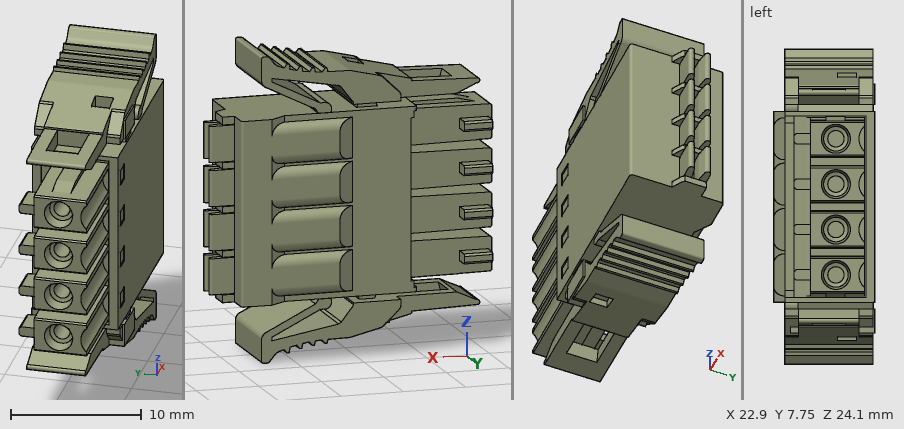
import cadquery as cq
import math

poles = 4
pitch = 3.47
pole_heights = [(index - (poles - 1) / 2) * pitch for index in range(poles)]

total_length = 22.9
total_width = 7.75
total_height = 24.1

housing_start = 6.6
housing_end = 20.92
housing_height = 14.6
housing_width = 6.87
corner_rounding = 0.22
half_housing = housing_height / 2

block_foot = 17.2
slope_run = 1.28
dome_length = 5.45
dome_width = 3.2
dome_rounding = 0.8

opening_bottom = 0.7
opening_top = 6.2
opening_height = 13.88
opening_depth = 0.72
wall_notch_height = 12.82
wall_notch_depth = 0.48

base_recess = 0.25
finger_bottom = 0.8
finger_top = 4.92
finger_tip_height = 2.75
finger_root_height = 2.9
finger_chamfer = 0.12
root_fillet = 0.27
base_height = 13.65
groove_depth = 0.43
groove_half_height = 0.96
groove_radius = (groove_half_height**2 + groove_depth**2) / (2 * groove_depth)

bore_y = 3.0
bore_mouth_radius = 1.1
bore_end_radius = 0.95
pin_radius = 0.63
bore_depth = 0.96
cone_depth = 0.1
pin_hole_depth = 3.85

tab_start = 0.31
tab_end = 2.58
tab_top = 6.2
tab_height = 0.8
tab_chamfer = 0.17

wedge_start = 1.01
wedge_crest = 2.39
wedge_bottom = 2.3
wedge_width = 1.47
wedge_top = 6.92

prong_height = 2.85
prong_outer_sides = (4.07, 5.9)
prong_root_width = 0.63
prong_tip_width = 0.48
prong_taper_end = 22.65
rib_end = 21.88
rib_top = 5.9
rib_foot = 3.47
rib_shoulder = 4.02
rib_bevel = 0.17
slot_height = 2.96

mark_size = 1.23
mark_centre_x = 8.1
mark_depth = 0.1

lever_start_y = 0.15
lever_end_y = 6.92
arm_start_y = 1.2
arm_end_y = 5.83
arm_tip = 1.25
lever_end = 19.06
lever_inner = 7.8
grip_start = 13.7
grip_height = 10.53
grip_radius = 12.05
grip_end = 17.74
ridge_count = 4
ridge_first = 13.74
ridge_pitch = 1.01
ridge_width = 0.48
ridge_crest = 0.17
ridge_rise = 0.3
ridge_rise_step = 0.05
ridge_root_depth = 0.25
half_total = total_height / 2

arm_window = (3.18, 6.65)
arm_window_lip = 3.47
arm_window_edge = 9.0
arm_window_y = (2.27, 4.77)
head_window = (9.65, 10.87)
head_window_y = (1.42, 2.87)
head_window_floor = 9.28
ear_end = 11.7
upper_ear = (8.92, 9.4)
lower_ear = (8.68, 9.66)
ear_far_side = 6.45
post_start = 9.47
post_end = 11.13
post_flare = 0.22
post_y = (0.12, 5.88)


def box(x_range, y_range, z_range):
    """Box between two limits on each axis."""
    return cq.Workplane("XY").box(
        x_range[1] - x_range[0],
        y_range[1] - y_range[0],
        z_range[1] - z_range[0],
        centered=False,
    ).translate((x_range[0], y_range[0], z_range[0]))


def prism_along_z(points, height, centre=0.0):
    """XY outline extruded symmetrically about a height."""
    outline = cq.Workplane("XY").polyline(points).close()
    return outline.extrude(height / 2, both=True).translate((0, 0, centre))


def prism_along_y(outline, y_range):
    """Closed XZ outline extruded between two Y limits."""
    return outline.extrude(y_range[0] - y_range[1]).translate((0, y_range[0], 0))


def xz_polygon(points):
    return cq.Workplane("XZ").polyline(points).close()


def make_housing():
    outline = [
        (housing_start, 0),
        (housing_end, 0),
        (housing_end, total_width),
        (block_foot + slope_run, total_width),
        (block_foot, housing_width),
        (housing_start, housing_width),
    ]
    housing = prism_along_z(outline, housing_height)
    rounded_corners = (
        (housing_end, 0, 0),
        (housing_end, total_width, 0),
        (housing_start, housing_width, 0),
    )
    for corner in rounded_corners:
        edge = cq.selectors.NearestToPointSelector(corner)
        housing = housing.edges("|Z").edges(edge).fillet(corner_rounding)
    return housing


def make_dome(height):
    """Round-edged bulge with slanted ends, running into the raised block."""
    start = block_foot - dome_length
    slanted = prism_along_z(
        [
            (start, housing_width),
            (block_foot, housing_width),
            (block_foot + slope_run, total_width),
            (start + slope_run, total_width),
        ],
        dome_width,
        height,
    )
    rounded = (
        box(
            (start, block_foot + slope_run),
            (housing_width - dome_rounding, total_width),
            (height - dome_width / 2, height + dome_width / 2),
        )
        .edges("|X and >Y")
        .fillet(dome_rounding)
    )
    return slanted.intersect(rounded)


def make_opening():
    front = (housing_start, housing_start + opening_depth)
    half_opening = opening_height / 2
    half_notch = wall_notch_height / 2
    pocket = box(front, (opening_bottom, opening_top), (-half_opening, half_opening))
    notch = box(
        (housing_start, housing_start + wall_notch_depth),
        (opening_top, housing_width),
        (-half_notch, half_notch),
    )
    shallow_notch = box(
        (housing_start, housing_start + wall_notch_depth / 2),
        (opening_top, housing_width),
        (-half_opening, half_opening),
    )
    return pocket.union(notch).union(shallow_notch)


def make_mark(height):
    half = mark_size / 2
    return box(
        (mark_centre_x - half, mark_centre_x + half),
        (0, mark_depth),
        (height - half, height + half),
    )


def make_plug_base():
    """Base block behind the fingers, with a concave fillet at its +Y root."""
    face = housing_start + base_recess
    back = housing_start + opening_depth
    outline = (
        cq.Workplane("XY")
        .moveTo(face, finger_bottom)
        .lineTo(back, finger_bottom)
        .lineTo(back, finger_top + root_fillet)
        .radiusArc((back - root_fillet, finger_top), root_fillet)
        .lineTo(face, finger_top)
        .close()
    )
    return outline.extrude(base_height / 2, both=True)


def make_finger(height):
    tip = finger_tip_height / 2
    root = finger_root_height / 2
    root_x = housing_start + opening_depth
    outline = xz_polygon(
        [
            (0, height - tip + finger_chamfer),
            (finger_chamfer, height - tip),
            (root_x, height - root),
            (root_x, height + root),
            (finger_chamfer, height + tip),
            (0, height + tip - finger_chamfer),
        ]
    )
    finger = prism_along_y(outline, (finger_bottom, finger_top))
    groove_y = finger_bottom + groove_depth - groove_radius
    groove = (
        cq.Workplane("YZ")
        .center(groove_y, height)
        .circle(groove_radius)
        .extrude(housing_start + base_recess)
    )
    return finger.cut(groove)


def make_bore(height):
    """Tapered mouth, cone and blind pin hole along X."""
    cone_end = bore_depth + cone_depth
    half_section = cq.Workplane("XY").polyline(
        [
            (0, 0),
            (0, bore_mouth_radius),
            (bore_depth, bore_end_radius),
            (cone_end, pin_radius),
            (pin_hole_depth, pin_radius),
            (pin_hole_depth, 0),
        ]
    )
    bore = half_section.close().revolve(360, (0, 0, 0), (1, 0, 0))
    return bore.translate((0, bore_y, height))


def make_tab(height):
    half = tab_height / 2
    tab = box((tab_start, tab_end), (finger_top, tab_top), (height - half, height + half))
    return tab.edges("|X and >Y").chamfer(tab_chamfer)


def make_latch_wedge():
    """Ramp on the outer face of the uppermost finger."""
    surface = pole_heights[-1] + finger_tip_height / 2
    root_x = housing_start + opening_depth
    outline = xz_polygon(
        [
            (wedge_start, surface - finger_chamfer),
            (wedge_start, surface),
            (wedge_crest, wedge_top),
            (root_x, wedge_top),
            (root_x, surface - finger_chamfer),
        ]
    )
    return prism_along_y(outline, (wedge_bottom, wedge_bottom + wedge_width))


def make_prong(outer_y, inward, height):
    """Contact blade, straight outside and tapered inside (inward is +1 or -1 along Y)."""
    root_y = outer_y + inward * prong_root_width
    tip_y = outer_y + inward * prong_tip_width
    outline = (
        cq.Workplane("XY")
        .moveTo(housing_end, outer_y)
        .lineTo(prong_taper_end, outer_y)
        .threePointArc((total_length, (outer_y + tip_y) / 2), (prong_taper_end, tip_y))
        .lineTo(rib_end, root_y)
        .lineTo(housing_end, root_y)
        .close()
    )
    return outline.extrude(prong_height / 2, both=True).translate((0, 0, height))


def make_contact_ribs():
    """Guide ribs left between the slots of the prongs."""
    ribs = prism_along_z(
        [
            (housing_end, rib_foot),
            (rib_end - rib_bevel, rib_shoulder - rib_bevel / 2),
            (rib_end, rib_shoulder + rib_bevel / 2),
            (rib_end, rib_top),
            (housing_end, rib_top),
        ],
        housing_height,
    )
    half = slot_height / 2
    for height in pole_heights:
        slot = box((housing_end, rib_end), (rib_foot, rib_top), (height - half, height + half))
        ribs = ribs.cut(slot)
    return ribs


def grip_z(x):
    """Height of the concave finger grip at a place along X."""
    return grip_height + grip_radius - math.sqrt(grip_radius**2 - (x - grip_start) ** 2)


def lever_outline():
    """Side outline of the upper lever with its spring leg."""
    grip_middle = (grip_start + grip_end) / 2
    return (
        cq.Workplane("XZ")
        .moveTo(1.5, 8.53)
        .threePointArc((arm_tip, 8.75), (1.42, 8.92))
        .lineTo(6.7, 9.05)
        .lineTo(6.7, 9.2)
        .lineTo(6.85, 9.28)
        .lineTo(11.9, 10.48)
        .lineTo(12.1, 10.5)
        .lineTo(grip_start, grip_height)
        .threePointArc((grip_middle, grip_z(grip_middle)), (grip_end, grip_z(grip_end)))
        .threePointArc((17.88, 11.33), (18.03, 11.47))
        .lineTo(18.4, 11.9)
        .threePointArc((18.48, 12.0), (18.65, half_total))
        .lineTo(18.9, half_total)
        .threePointArc((19.01, 12.0), (lever_end, 11.88))
        .lineTo(lever_end, 10.1)
        .threePointArc((18.9, 9.75), (18.58, 9.57))
        .lineTo(14.75, 7.66)
        .lineTo(14.5, half_housing)
        .lineTo(13.52, half_housing)
        .threePointArc((13.57, 7.9), (13.98, 8.12))
        .lineTo(14.36, 8.12)
        .lineTo(18.22, 10.03)
        .lineTo(18.25, 10.31)
        .lineTo(12.9, 9.37)
        .lineTo(12.68, 9.23)
        .lineTo(ear_end, 7.95)
        .lineTo(ear_end, lever_inner)
        .lineTo(3.08, lever_inner)
        .close()
    )


def make_grip_ridge(start, rise):
    end = start + ridge_width
    crest_z = grip_z(start) + rise
    crest_x = start + ridge_crest / 2
    outline = xz_polygon(
        [
            (start, grip_height - ridge_root_depth),
            (end, grip_height - ridge_root_depth),
            (end, grip_z(end)),
            (crest_x + ridge_crest, crest_z),
            (crest_x, crest_z),
            (start, grip_z(start)),
        ]
    )
    return prism_along_y(outline, (lever_start_y, lever_end_y))


def make_lever(ear_start, ear_top):
    """Upper lever: wide head, narrow arm, windows, pivot ears and post."""
    lever = prism_along_y(lever_outline(), (lever_start_y, lever_end_y))

    shoulder = [
        (0, half_housing),
        (7.9, half_housing),
        (7.9, 8.35),
        (8.0, 8.53),
        (9.35, 9.83),
        (9.6, 9.93),
        (9.6, half_total),
        (0, half_total),
    ]
    sides = ((lever_start_y, arm_start_y), (arm_end_y, lever_end_y))
    for side in sides:
        lever = lever.cut(prism_along_y(xz_polygon(shoulder), side))

    for index in range(ridge_count):
        start = ridge_first + index * ridge_pitch
        rise = ridge_rise + index * ridge_rise_step
        lever = lever.union(make_grip_ridge(start, rise))

    ear = box((ear_start, ear_end), (0, ear_far_side), (lever_inner, ear_top))
    lever = lever.union(ear)

    window = xz_polygon(
        [
            (arm_window[0], half_total),
            (arm_window[0], arm_window_edge),
            (arm_window_lip, lever_inner),
            (arm_window[1], lever_inner),
            (arm_window[1], half_total),
        ]
    )
    lever = lever.cut(prism_along_y(window, arm_window_y))
    lever = lever.cut(box(head_window, head_window_y, (head_window_floor, half_total)))

    post = xz_polygon(
        [
            (post_start, half_housing),
            (post_end, half_housing),
            (post_end - post_flare, lever_inner),
            (post_start + post_flare, lever_inner),
        ]
    )
    return lever.union(prism_along_y(post, post_y))


result = make_housing().cut(make_opening())
result = result.union(make_plug_base())

lower_y, upper_y = prong_outer_sides
for pole_z in pole_heights:
    result = result.union(make_dome(pole_z))
    result = result.cut(make_mark(pole_z))
    result = result.union(make_finger(pole_z).cut(make_bore(pole_z)))
    result = result.union(make_tab(pole_z))
    result = result.union(make_prong(lower_y, 1, pole_z))
    result = result.union(make_prong(upper_y, -1, pole_z))

result = result.union(make_contact_ribs())

latch_wedge = make_latch_wedge()
result = result.union(latch_wedge).union(latch_wedge.mirror("XY"))

result = result.union(make_lever(*upper_ear))
result = result.union(make_lever(*lower_ear).mirror("XY"))